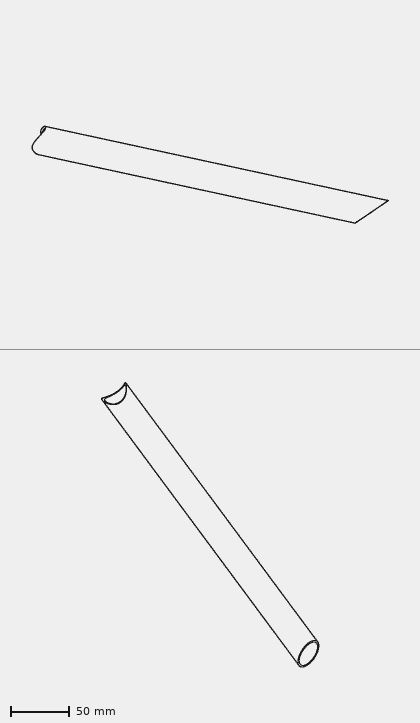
import cadquery as cq
import math

length = 314.5
outer_radius = 12.5
wall = 1.5
saddle_radius = 14.8
saddle_tilt = 9.0
miter_angle = 45.0
miter_roll = 32.0
cutter_size = 6 * outer_radius


def tube():
    """Straight tube along X, with its -X end at the origin."""
    return cq.Workplane("YZ").circle(outer_radius).circle(outer_radius - wall).extrude(length)


def saddle_cutter():
    """Crossing cylinder whose edge meets the widest points of the tube at X = 0."""
    axis_offset = math.sqrt(saddle_radius**2 - outer_radius**2)
    cylinder = cq.Workplane("XY").circle(saddle_radius).extrude(cutter_size, both=True)
    return cylinder.rotate((0, 0, 0), (1, 0, 0), -saddle_tilt).translate((-axis_offset, 0, 0))


def miter_cutter():
    """Block that leaves a slanted plane with its tip at X = length."""
    tip_reach = outer_radius * math.tan(math.radians(miter_angle))
    block = cq.Workplane("XY").box(cutter_size, cutter_size, cutter_size, centered=(False, True, True))
    block = block.rotate((0, 0, 0), (0, 1, 0), miter_angle)
    block = block.rotate((0, 0, 0), (1, 0, 0), -miter_roll)
    return block.translate((length - tip_reach, 0, 0))


result = tube().cut(saddle_cutter()).cut(miter_cutter())